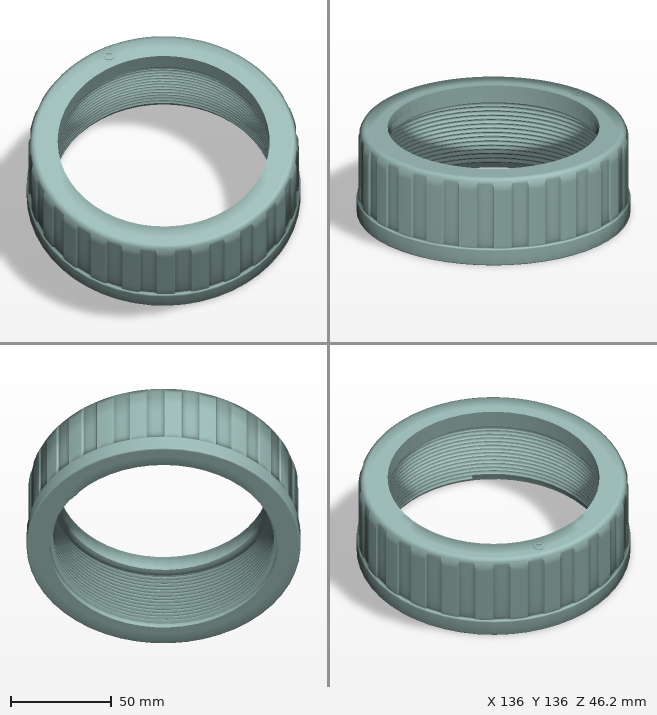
import cadquery as cq
import math

flange_radius = 68.0
flange_height = 9.0
flange_edge = 0.8

sleeve_radius = 66.1
sleeve_height = 45.8
top_rounding = 2.9

rib_count = 24
rib_radius = 67.0
rib_crest_width = 8.3
rib_foot_width = 9.5
rib_straight_top = 39.8
rib_top_rounding = 8.2
rib_root_depth = 0.7

bore_radius = 105.1 / 2
thread_minor_radius = 110.0 / 2
thread_major_radius = 113.0 / 2
thread_chamber_height = 36.7
thread_pitch = 2.3
thread_start = 2.2
thread_turns = 14.5
thread_flank_angle = 27.5
thread_crest_width = 0.38
thread_overlap = 0.1

liner_radius = 62.5

ring_outer_radius = 5.0 / 2
ring_inner_radius = 3.3 / 2
ring_height = 0.4
ring_x = -58.0
ring_y = -11.7


def cylinder(radius, bottom, height):
    """Upright cylinder on the part axis."""
    return cq.Workplane("XY").workplane(offset=bottom).circle(radius).extrude(height)


def make_flange():
    return cylinder(flange_radius, 0, flange_height).edges().fillet(flange_edge)


def make_sleeve():
    return cylinder(sleeve_radius, 0, sleeve_height).faces(">Z").edges().fillet(top_rounding)


def make_rib():
    """One rib on the +X side, rounded at the top and rooted inside the sleeve."""
    root_radius = sleeve_radius - rib_root_depth
    crest_half_width = rib_crest_width / 2
    flank_slope = (rib_foot_width - rib_crest_width) / 2 / (rib_radius - sleeve_radius)
    root_half_width = crest_half_width + flank_slope * (rib_radius - root_radius)
    bar = (
        cq.Workplane("XY")
        .moveTo(root_radius, -root_half_width)
        .lineTo(rib_radius, -crest_half_width)
        .lineTo(rib_radius, crest_half_width)
        .lineTo(root_radius, root_half_width)
        .close()
        .extrude(sleeve_height)
    )
    arc_center = rib_radius - rib_top_rounding
    end_angle = math.acos((root_radius - arc_center) / rib_top_rounding)
    top = rib_straight_top + rib_top_rounding * math.sin(end_angle)
    arc_middle = (
        arc_center + rib_top_rounding * math.cos(end_angle / 2),
        rib_straight_top + rib_top_rounding * math.sin(end_angle / 2),
    )
    envelope = (
        cq.Workplane("XZ")
        .lineTo(rib_radius, 0)
        .lineTo(rib_radius, rib_straight_top)
        .threePointArc(arc_middle, (root_radius, top))
        .lineTo(0, top)
        .close()
        .revolve(360, (0, 0), (0, 1))
    )
    return bar.intersect(envelope)


def make_inner_cavity():
    """Plain bore through the top and a wider chamber that holds the thread."""
    bore = cylinder(bore_radius, 0, sleeve_height)
    chamber = cylinder(thread_major_radius, 0, thread_chamber_height)
    return bore.union(chamber)


def make_thread():
    """Helical ridge standing inward from the chamber wall."""
    base_radius = thread_major_radius + thread_overlap
    ridge_depth = base_radius - thread_minor_radius
    crest_half = thread_crest_width / 2
    base_half = crest_half + ridge_depth * math.tan(math.radians(thread_flank_angle))
    thread_length = thread_pitch * thread_turns
    helix = cq.Wire.makeHelix(thread_pitch, thread_length, thread_major_radius)
    ridge = (
        cq.Workplane("XZ")
        .moveTo(base_radius, -base_half)
        .lineTo(thread_minor_radius, -crest_half)
        .lineTo(thread_minor_radius, crest_half)
        .lineTo(base_radius, base_half)
        .close()
        .sweep(helix, isFrenet=True)
    )
    return ridge.translate((0, 0, thread_start))


def make_raised_ring():
    return (
        cq.Workplane("XY")
        .workplane(offset=sleeve_height)
        .center(ring_x, ring_y)
        .circle(ring_outer_radius)
        .circle(ring_inner_radius)
        .extrude(ring_height)
    )


def make_all_ribs():
    rib = make_rib().val()
    return cq.Workplane("XY").polarArray(0, 0, 360, rib_count).eachpoint(lambda place: rib.moved(place))


def make_liner():
    """Threaded inner part of the cap, carrying the raised ring."""
    liner = cylinder(liner_radius, 0, sleeve_height).cut(make_inner_cavity())
    return liner.union(make_raised_ring()).union(make_thread())


def make_shell():
    """Ribbed outer part of the cap, hollow to receive the liner."""
    outside = make_flange().union(make_sleeve()).union(make_all_ribs())
    return outside.cut(cylinder(liner_radius, 0, sleeve_height))


result = make_shell().union(make_liner(), glue=True)